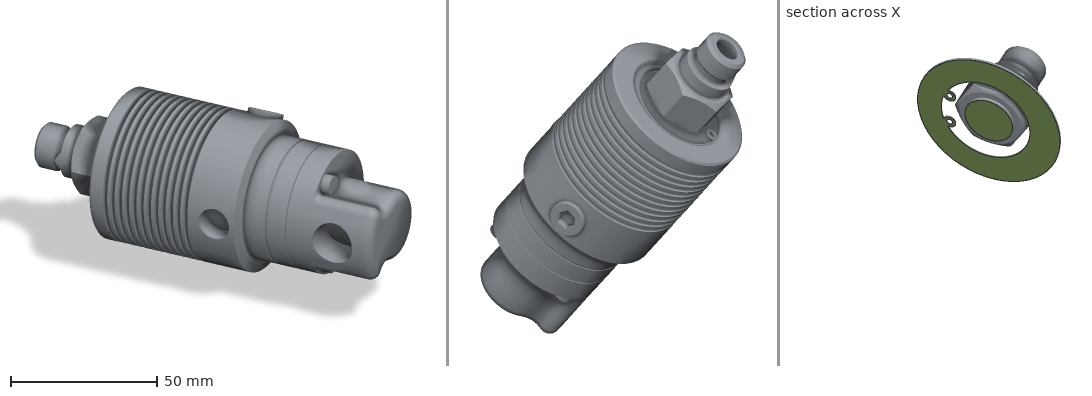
import cadquery as cq
import math

total_length = 135.2
spigot_end = 7.2
neck_start = 8.4
collar_start = 11.0
collar_end = 15.5
hex_start = 16.0
hex_end = 30.5
body_start = 30.3
body_end = 86.9
shoulder = 111.3

spigot_diameter = 16.0
spigot_chamfer = 1.1
neck_diameter = 13.5
neck_fillet = 0.8
collar_diameter = 18.7
undercut_diameter = 18.0
bore_diameter = 8.5
bore_depth = 29.7
bore_chamfer = 0.4
key_start = 8.5
key_half_width = 3.6
key_root = 6.1
key_diameter = 18.1

hex_across_flats = 23.9
hex_chamfer_diameter = 22.6
hex_chamfer_slope = math.tan(math.radians(30))

body_diameter = 53.4
front_chamfer = 0.7
rear_chamfer_length = 1.4
rear_chamfer_depth = 3.1
groove_count = 12
groove_width = 1.6
groove_pitch = 2.77
groove_start = 35.7
groove_root_diameter = 48.3
recess_diameter = 35.3
recess_mouth_diameter = 37.3
recess_depth = 1.9

ring_depth = 1.1
ring_inner_radius = 16.4
ring_offset = 1.1
lug_y = -14.6
lug_z = 6.02
lug_radius = 2.3
lug_hole_diameter = 2.0

port_x = 77.9
port_diameter = 11.5
port_floor_diameter = 40.5
plug_diameter = 12.5
plug_height = 28.3
plug_tilt = 30
plug_chamfer = 0.3
socket_across_corners = 7.2
socket_depth = 3.5
socket_cone_depth = 1.8

housing_diameter = 43.7
wide_groove_x = 94.8
wide_groove_width = 1.0
narrow_groove_x = 102.5
narrow_groove_width = 0.4
housing_groove_depth = 0.4

screw_circle_radius = 17.5
screw_diameter = 6.9
screw_height = 3.2
screw_count = 3

lobe_radius = 12.5
valley_radius = 4.6
rib_radius = 3.8
tongue_end_fillet = 3.2
tongue_root_fillet = 1.6
tongue_port_x = 120.5
tongue_port_diameter = 15.1
tongue_port_floor_diameter = 21.4


def x_cylinder(start, end, diameter, y=0.0, z=0.0):
    return cq.Workplane("YZ", origin=(start, 0, 0)).center(y, z).circle(diameter / 2).extrude(end - start)


def point_toward(origin, angle, distance):
    """Point in the YZ plane at an angle (radians, from +Y) and a distance from the origin point."""
    return (origin[0] + distance * math.cos(angle), origin[1] + distance * math.sin(angle))


def make_body():
    """Turned spigot, neck, collar, recessed body and rear housing."""
    body_radius = body_diameter / 2
    housing_radius = housing_diameter / 2
    profile = [
        (0, 0),
        (0, spigot_diameter / 2 - spigot_chamfer),
        (spigot_chamfer, spigot_diameter / 2),
        (spigot_end, spigot_diameter / 2),
        (neck_start, neck_diameter / 2),
        (collar_start, neck_diameter / 2),
        (collar_start, collar_diameter / 2),
        (collar_end, collar_diameter / 2),
        (collar_end, undercut_diameter / 2),
        (body_start + recess_depth, undercut_diameter / 2),
        (body_start + recess_depth, recess_diameter / 2),
        (body_start + (recess_mouth_diameter - recess_diameter) / 2, recess_diameter / 2),
        (body_start, recess_mouth_diameter / 2),
        (body_start, body_radius - front_chamfer),
        (body_start + front_chamfer, body_radius),
        (body_end - rear_chamfer_length, body_radius),
        (body_end, body_radius - rear_chamfer_depth),
        (body_end, housing_radius),
        (shoulder, housing_radius),
        (shoulder, 0),
    ]
    turned = cq.Workplane("XY").polyline(profile).close().revolve(360, (0, 0, 0), (1, 0, 0))
    reach = neck_fillet / 2
    collar_front = cq.selectors.BoxSelector(
        (collar_start - reach, -reach, -reach), (collar_start + reach, reach, reach)
    )
    neck_corner = turned.edges(collar_front).edges(cq.selectors.RadiusNthSelector(0))
    return neck_corner.fillet(neck_fillet)


def make_bore():
    """Blind bore into the spigot with a chamfered mouth."""
    radius = bore_diameter / 2
    return (
        cq.Workplane("XY")
        .polyline([
            (0, 0),
            (0, radius + bore_chamfer),
            (bore_chamfer, radius),
            (bore_depth, radius),
            (bore_depth, 0),
        ])
        .close()
        .revolve(360, (0, 0, 0), (1, 0, 0))
    )


def make_hexagon():
    """Hexagon with corners on the Y axis and both ends chamfered at 30 degrees."""
    across_corners = hex_across_flats / math.cos(math.radians(30))
    blank = (
        cq.Workplane("YZ", origin=(hex_start, 0, 0))
        .polygon(6, across_corners)
        .extrude(hex_end - hex_start)
    )
    corner_radius = across_corners / 2
    face_radius = hex_chamfer_diameter / 2
    chamfer_length = (corner_radius - face_radius) * hex_chamfer_slope
    envelope = (
        cq.Workplane("XY")
        .polyline([
            (hex_start, 0),
            (hex_start, face_radius),
            (hex_start + chamfer_length, corner_radius),
            (hex_end - chamfer_length, corner_radius),
            (hex_end, face_radius),
            (hex_end, 0),
        ])
        .close()
        .revolve(360, (0, 0, 0), (1, 0, 0))
    )
    return blank.intersect(envelope)


def make_key():
    """Pointed locating key in front of the collar, on the -Y side."""
    wedge = (
        cq.Workplane("XZ", origin=(0, -key_root, 0))
        .polyline([
            (key_start, 0),
            (collar_start, key_half_width),
            (collar_start, -key_half_width),
        ])
        .close()
        .extrude(key_diameter / 2 - key_root)
    )
    return wedge.intersect(x_cylinder(key_start, collar_start, key_diameter))


def make_ring_groove(start, width, outer_diameter, root_diameter):
    return (
        cq.Workplane("YZ", origin=(start, 0, 0))
        .circle(outer_diameter)
        .circle(root_diameter / 2)
        .extrude(width)
    )


def make_retaining_ring():
    """Eccentric open ring with two drilled lugs on the -Y side."""
    start = body_start + ring_depth
    end = body_start + recess_depth
    thickness = end - start
    ring = x_cylinder(start, end, recess_diameter)
    ring = ring.cut(x_cylinder(start, end, 2 * ring_inner_radius, y=-ring_offset))
    gap = (
        cq.Workplane("YZ", origin=(start, 0, 0))
        .center(-recess_diameter / 2, 0)
        .rect(recess_diameter / 2, 2 * lug_z)
        .extrude(thickness)
    )
    ring = ring.cut(gap)
    for side in (1, -1):
        ring = ring.union(x_cylinder(start, end, 2 * lug_radius, lug_y, side * lug_z))
    for side in (1, -1):
        ring = ring.cut(x_cylinder(start, end, lug_hole_diameter, lug_y, side * lug_z))
    return ring


def make_port(x, diameter, floor_diameter):
    """Blind round port from -Y whose floor is a cylinder about the X axis."""
    drill = cq.Workplane("XZ", origin=(x, 0, 0)).circle(diameter / 2).extrude(body_diameter)
    return drill.cut(x_cylinder(x - diameter, x + diameter, floor_diameter))


def place_plug(shape, side):
    """Tilt a shape built along +Z toward +Y and move it to the plug station, above or below."""
    tilted = shape.rotate((0, 0, 0), (1, 0, 0), -plug_tilt).translate((port_x, 0, 0))
    return tilted if side > 0 else tilted.mirror("XY")


def make_plug():
    return (
        cq.Workplane("XY", origin=(0, 0, recess_diameter / 2))
        .circle(plug_diameter / 2)
        .extrude(plug_height - recess_diameter / 2)
        .faces(">Z")
        .chamfer(plug_chamfer)
    )


def make_socket():
    """Hexagon socket with a drilled conical floor."""
    floor = plug_height - socket_depth
    flat_radius = socket_across_corners / 2 * math.cos(math.radians(30))
    hexagon = (
        cq.Workplane("XY", origin=(0, 0, floor))
        .polygon(6, socket_across_corners)
        .extrude(socket_depth)
        .rotate((0, 0, 0), (0, 0, 1), 30)
    )
    cone = cq.Solid.makeCone(
        flat_radius, 0, socket_cone_depth, cq.Vector(0, 0, floor), cq.Vector(0, 0, -1)
    )
    return hexagon.union(cq.Workplane(cone))


def make_tongue():
    """Tongue: a round lobe and a -Y block, with two rounded ribs beside the screw clearances."""
    housing_radius = housing_diameter / 2
    screw_angle = math.radians(120)
    screw = point_toward((0, 0), screw_angle, screw_circle_radius)

    flank_swing = math.acos((lobe_radius + valley_radius) / screw_circle_radius)
    flank_angle = screw_angle - flank_swing
    lobe_tangent = point_toward((0, 0), flank_angle, lobe_radius)
    valley_start = point_toward(screw, flank_angle + math.pi, valley_radius)

    rib_distance = housing_radius - rib_radius
    rib_gap = valley_radius + rib_radius
    cos_swing = (screw_circle_radius**2 + rib_distance**2 - rib_gap**2) / (
        2 * screw_circle_radius * rib_distance
    )
    rib_angle = screw_angle + math.acos(cos_swing)
    rib = point_toward((0, 0), rib_angle, rib_distance)
    toward_rib = math.atan2(rib[1] - screw[1], rib[0] - screw[0])
    valley_end = point_toward(screw, toward_rib, valley_radius)
    rib_tangent = point_toward((0, 0), rib_angle, housing_radius)

    valley_middle_angle = (flank_angle + math.pi + toward_rib + 2 * math.pi) / 2
    valley_middle = point_toward(screw, valley_middle_angle, valley_radius)
    rib_middle_angle = (toward_rib + math.pi + rib_angle) / 2
    rib_middle = point_toward(rib, rib_middle_angle, rib_radius)

    def below(point):
        return (point[0], -point[1])

    outline = (
        cq.Workplane("YZ", origin=(shoulder, 0, 0))
        .moveTo(*lobe_tangent)
        .lineTo(*valley_start)
        .threePointArc(valley_middle, valley_end)
        .threePointArc(rib_middle, rib_tangent)
        .threePointArc((-housing_radius, 0), below(rib_tangent))
        .threePointArc(below(rib_middle), below(valley_end))
        .threePointArc(below(valley_middle), below(valley_start))
        .lineTo(*below(lobe_tangent))
        .threePointArc((lobe_radius, 0), lobe_tangent)
        .close()
    )
    tongue = outline.extrude(total_length - shoulder)
    tongue = tongue.faces(">X").edges().fillet(tongue_end_fillet)

    plate = x_cylinder(body_end, shoulder, 2 * housing_diameter)
    flared = tongue.union(plate)
    floor = flared.faces("|X").faces("<X[1]").val()
    flared = flared.newObject(floor.innerWires()[0].Edges()).fillet(tongue_root_fillet)
    return flared.intersect(x_cylinder(shoulder, total_length, housing_diameter))


def make_screws():
    screws = cq.Workplane("YZ", origin=(shoulder, 0, 0)).polarArray(screw_circle_radius, 0, 360, screw_count)
    return screws.circle(screw_diameter / 2).extrude(screw_height)


result = make_body().union(make_hexagon()).union(make_key())

for index in range(groove_count):
    start = groove_start + index * groove_pitch
    result = result.cut(make_ring_groove(start, groove_width, body_diameter, groove_root_diameter))

housing_root = housing_diameter - 2 * housing_groove_depth
for start, width in ((wide_groove_x, wide_groove_width), (narrow_groove_x, narrow_groove_width)):
    result = result.cut(make_ring_groove(start, width, housing_diameter, housing_root))

result = result.union(make_retaining_ring())
result = result.cut(make_port(port_x, port_diameter, port_floor_diameter))

for side in (1, -1):
    result = result.union(place_plug(make_plug(), side))
    result = result.cut(place_plug(make_socket(), side))

result = result.union(make_tongue()).union(make_screws())
result = result.cut(make_port(tongue_port_x, tongue_port_diameter, tongue_port_floor_diameter))
result = result.cut(make_bore())